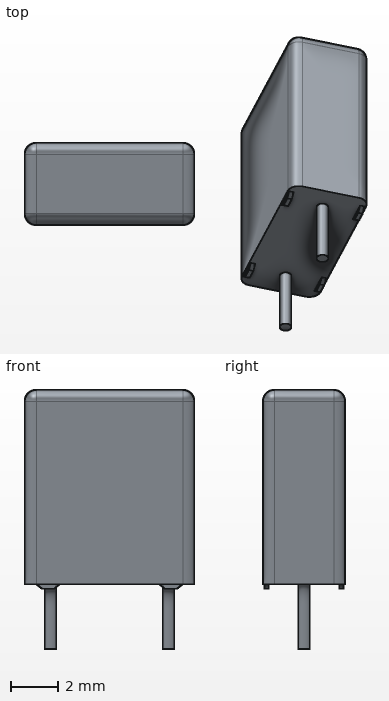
import cadquery as cq

total_height = 11.0
body_length = 7.2
body_depth = 3.5
lead_length = 2.75
body_height = total_height - lead_length
edge_radius = 0.5

lead_diameter = 0.5
lead_pitch = 5.0

foot_height = 0.2
foot_top_length = 1.0
foot_bottom_length = 0.5
foot_thickness = 0.2
foot_inset = 0.07
foot_center_x = body_length / 2 - edge_radius - foot_top_length / 2
foot_center_y = body_depth / 2 - foot_inset - foot_thickness / 2


def make_body():
    """Block with rounded vertical and top edges and a sharp bottom edge."""
    block = cq.Workplane("XY").workplane(offset=lead_length).box(
        body_length, body_depth, body_height, centered=(True, True, False)
    )
    return block.edges("|Z or >Z").fillet(edge_radius)


def make_leads():
    """Two round wires from Z = 0 up to the bottom face of the body."""
    return (
        cq.Workplane("XY")
        .pushPoints([(-lead_pitch / 2, 0), (lead_pitch / 2, 0)])
        .circle(lead_diameter / 2)
        .extrude(lead_length)
    )


def make_foot(center_x, center_y):
    """Trapezoidal standoff, wide at the body and narrow at its tip."""
    foot_tip_z = lead_length - foot_height
    return (
        cq.Workplane("XZ", origin=(center_x, center_y, 0))
        .moveTo(-foot_top_length / 2, lead_length)
        .lineTo(foot_top_length / 2, lead_length)
        .lineTo(foot_bottom_length / 2, foot_tip_z)
        .lineTo(-foot_bottom_length / 2, foot_tip_z)
        .close()
        .extrude(foot_thickness / 2, both=True)
    )


result = make_body().union(make_leads())
for side_x in (-1, 1):
    for side_y in (-1, 1):
        result = result.union(make_foot(side_x * foot_center_x, side_y * foot_center_y))